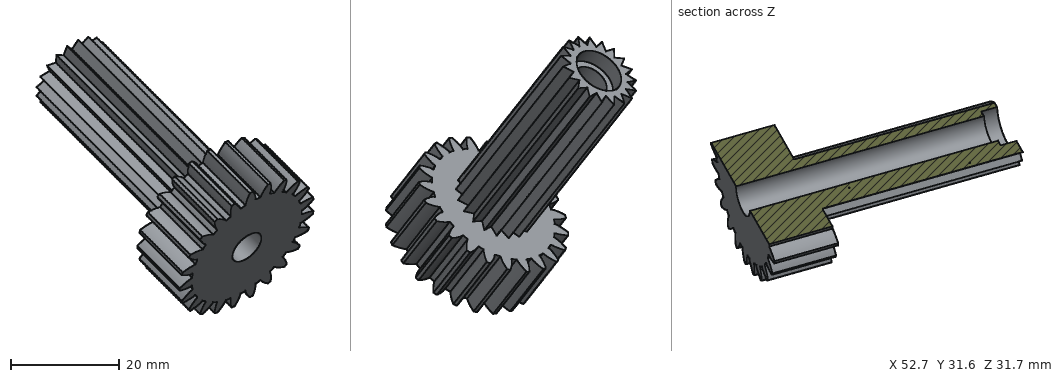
import cadquery as cq
import math

total_length = 52.7
wheel_thickness = 12.7
pinion_length = total_length - wheel_thickness

wheel_teeth = 23
wheel_tip_radius = 15.85
wheel_flank_radius = 14.75
wheel_root_radius = 13.0
tip_half_width = 0.35
flank_half_width = 0.85
root_half_width = 1.2

pinion_teeth = 19
pinion_tip_radius = 8.0
pinion_root_radius = 6.05

bore_radius = 3.4
counterbore_radius = 4.75
counterbore_depth = 3.15


def polar(radius, angle):
    """Point in the YZ plane, with the angle measured from +Y."""
    return (radius * math.cos(angle), radius * math.sin(angle))


def make_wheel():
    """Gear whose teeth have bulging flanks between a round root and a narrow round tip."""
    pitch_angle = 2 * math.pi / wheel_teeth
    tip_angle = tip_half_width / wheel_tip_radius
    flank_angle = flank_half_width / wheel_flank_radius
    root_angle = root_half_width / wheel_root_radius

    outline = cq.Workplane("YZ", origin=(pinion_length, 0, 0))
    outline = outline.moveTo(*polar(wheel_root_radius, math.pi - root_angle))
    for tooth in range(wheel_teeth):
        center = math.pi + tooth * pitch_angle
        gap_center = center + pitch_angle / 2
        next_root = center + pitch_angle - root_angle
        outline = outline.threePointArc(
            polar(wheel_flank_radius, center - flank_angle),
            polar(wheel_tip_radius, center - tip_angle),
        )
        outline = outline.threePointArc(
            polar(wheel_tip_radius, center),
            polar(wheel_tip_radius, center + tip_angle),
        )
        outline = outline.threePointArc(
            polar(wheel_flank_radius, center + flank_angle),
            polar(wheel_root_radius, center + root_angle),
        )
        outline = outline.threePointArc(
            polar(wheel_root_radius, gap_center),
            polar(wheel_root_radius, next_root),
        )
    return outline.close().extrude(wheel_thickness)


def make_pinion():
    """Star-shaped shaft of pointed teeth with straight flanks."""
    pitch_angle = 2 * math.pi / pinion_teeth
    points = []
    for tooth in range(pinion_teeth):
        center = tooth * pitch_angle
        points.append(polar(pinion_tip_radius, center))
        points.append(polar(pinion_root_radius, center + pitch_angle / 2))
    return cq.Workplane("YZ").polyline(points).close().extrude(pinion_length)


def make_bore():
    """Through bore widened by a counterbore at the free end of the pinion."""
    bore = cq.Workplane("YZ").circle(bore_radius).extrude(total_length)
    counterbore = cq.Workplane("YZ").circle(counterbore_radius).extrude(counterbore_depth)
    return bore.union(counterbore)


result = make_wheel().union(make_pinion()).cut(make_bore())